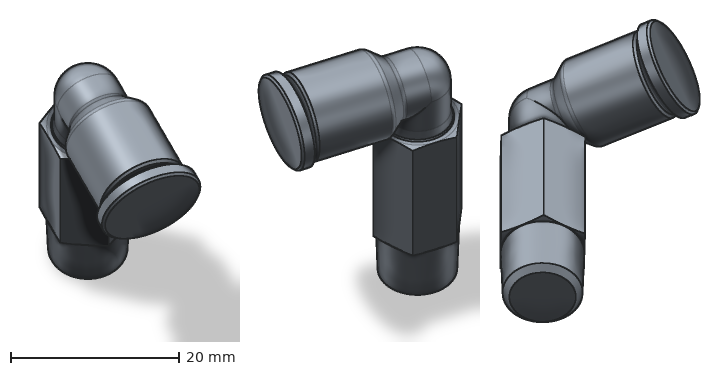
import cadquery as cq
import math


hex_flats = 10.0
hex_bottom = 7.95
hex_top = 25.53
hex_corner_radius = hex_flats / math.sqrt(3)
hex_chamfer_radius = 4.92
hex_chamfer_height = 0.22

stud_tip_radius = 3.95
stud_lower_radius = 4.77
stud_upper_radius = 5.0
stud_chamfer_height = 0.78

elbow_radius = 8.03 / 2
flare_radius = 4.25
flare_top = 26.9
flare_bottom = 25.75
flare_foot_radius = 4.4

overall_height = 37
socket_radius = 11.2 / 2
socket_axis_z = overall_height - socket_radius
neck_end = 3.2
cone_angle = math.radians(38)
blend_radius = 0.9
blend_length = blend_radius * math.sin(cone_angle)
blend_rise = blend_radius * (1 - math.cos(cone_angle))
cone_start = neck_end + blend_length
cone_start_radius = elbow_radius + blend_rise
cone_end_radius = socket_radius - blend_rise
cone_end = cone_start + (cone_end_radius - cone_start_radius) / math.tan(cone_angle)
barrel_start = cone_end + blend_length
barrel_end = 15.6
barrel_chamfer = 0.35

overall_length = 23.7
stem_radius = 7.5 / 2
collar_start = 16.35
collar_end = overall_length - hex_corner_radius
collar_half_width = 13.0 / 2
collar_half_height = 11.15 / 2
collar_chamfer = 0.3


def make_hexagon():
    """Hexagon with a corner on the X axis and chamfered corners at both ends."""
    length = hex_top - hex_bottom
    base = cq.Workplane("XY", origin=(0, 0, hex_bottom))
    prism = base.polygon(6, 2 * hex_corner_radius).extrude(length)
    envelope = (
        cq.Workplane("XZ")
        .moveTo(0, hex_bottom)
        .lineTo(hex_chamfer_radius, hex_bottom)
        .lineTo(hex_corner_radius, hex_bottom + hex_chamfer_height)
        .lineTo(hex_corner_radius, hex_top - hex_chamfer_height)
        .lineTo(hex_chamfer_radius, hex_top)
        .lineTo(0, hex_top)
        .close()
        .revolve(360, (0, 0), (0, 1))
    )
    return prism.intersect(envelope)


def make_stud():
    """Tapered stud with a chamfered tip."""
    return (
        cq.Workplane("XZ")
        .lineTo(stud_tip_radius, 0)
        .lineTo(stud_lower_radius, stud_chamfer_height)
        .lineTo(stud_upper_radius, hex_bottom)
        .lineTo(0, hex_bottom)
        .close()
        .revolve(360, (0, 0), (0, 1))
    )


def make_elbow():
    """Upright neck with a flared foot and a spherical outer corner."""
    return (
        cq.Workplane("XZ")
        .moveTo(0, hex_top)
        .lineTo(flare_foot_radius, hex_top)
        .lineTo(flare_radius, flare_bottom)
        .lineTo(elbow_radius, flare_top)
        .lineTo(elbow_radius, socket_axis_z)
        .tangentArcPoint((0, socket_axis_z + elbow_radius), relative=False)
        .close()
        .revolve(360, (0, 0), (0, 1))
    )


def make_socket():
    """Horizontal neck, blended cone, barrel and collar stem, turned about the socket axis."""
    return (
        cq.Workplane("XZ", origin=(0, 0, socket_axis_z))
        .lineTo(0, elbow_radius)
        .lineTo(neck_end, elbow_radius)
        .radiusArc((cone_start, cone_start_radius), -blend_radius)
        .lineTo(cone_end, cone_end_radius)
        .radiusArc((barrel_start, socket_radius), blend_radius)
        .lineTo(barrel_end - barrel_chamfer, socket_radius)
        .lineTo(barrel_end, socket_radius - barrel_chamfer)
        .lineTo(barrel_end, stem_radius)
        .lineTo(collar_start, stem_radius)
        .lineTo(collar_start, 0)
        .close()
        .revolve(360, (0, 0), (1, 0))
    )


def make_collar():
    """Oval collar with a chamfered outer rim."""
    return (
        cq.Workplane("YZ", origin=(collar_start, 0, socket_axis_z))
        .ellipse(collar_half_width, collar_half_height)
        .extrude(collar_end - collar_start)
        .faces(">X")
        .chamfer(collar_chamfer)
    )


result = make_hexagon()
for body in (make_stud(), make_elbow(), make_socket(), make_collar()):
    result = result.union(body)